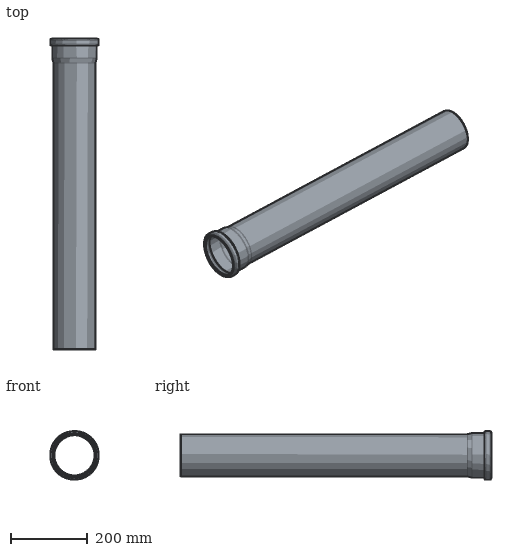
import cadquery as cq

total_length = 813.0
pipe_radius = 110.5 / 2
pipe_bore_radius = 104.0 / 2
spigot_chamfer = 2.5
spigot_chamfer_depth = 1.0

socket_radius = 117.0 / 2
socket_bore_radius = 111.0 / 2
socket_wall = socket_radius - socket_bore_radius
lip_length = 2.0
bead_length = 18.0
socket_length = 52.0
taper_length = 12.0

bead_radius = 128.0 / 2
groove_radius = 122.0 / 2
shoulder_radius = 4.0
groove_corner_radius = shoulder_radius - socket_wall

mouth_y = total_length
bead_end_y = mouth_y - lip_length
bead_start_y = bead_end_y - bead_length
taper_end_y = mouth_y - socket_length
taper_start_y = taper_end_y - taper_length


def revolve_about_y(profile):
    """Turn a closed radius/Y profile into a solid around the Y axis."""
    return profile.close().revolve(360, (0, 0, 0), (0, 1, 0))


def make_outside():
    """Solid envelope of the spigot, taper, socket and rounded bead."""
    bead_bottom_y = bead_start_y + shoulder_radius
    bead_top_y = bead_end_y - shoulder_radius
    shoulder_base_radius = bead_radius - shoulder_radius
    return revolve_about_y(
        cq.Workplane("XY")
        .moveTo(0, 0)
        .lineTo(pipe_radius - spigot_chamfer_depth, 0)
        .lineTo(pipe_radius, spigot_chamfer)
        .lineTo(pipe_radius, taper_start_y)
        .lineTo(socket_radius, taper_end_y)
        .lineTo(socket_radius, bead_start_y)
        .lineTo(shoulder_base_radius, bead_start_y)
        .radiusArc((bead_radius, bead_bottom_y), -shoulder_radius)
        .lineTo(bead_radius, bead_top_y)
        .radiusArc((shoulder_base_radius, bead_end_y), -shoulder_radius)
        .lineTo(socket_radius, bead_end_y)
        .lineTo(socket_radius, mouth_y)
        .lineTo(0, mouth_y)
    )


def make_bore():
    """Pipe bore, tapering out to the socket bore."""
    return revolve_about_y(
        cq.Workplane("XY")
        .moveTo(0, 0)
        .lineTo(pipe_bore_radius, 0)
        .lineTo(pipe_bore_radius, taper_start_y)
        .lineTo(socket_bore_radius, taper_end_y)
        .lineTo(socket_bore_radius, mouth_y)
        .lineTo(0, mouth_y)
    )


def make_seal_groove():
    """Ring inside the bead, leaving the socket wall thickness all round."""
    groove_length = bead_length - 2 * socket_wall
    groove = (
        cq.Workplane("XZ", origin=(0, bead_start_y + socket_wall, 0))
        .circle(groove_radius)
        .extrude(-groove_length)
    )
    return groove.edges().fillet(groove_corner_radius)


result = make_outside().cut(make_bore()).cut(make_seal_groove())